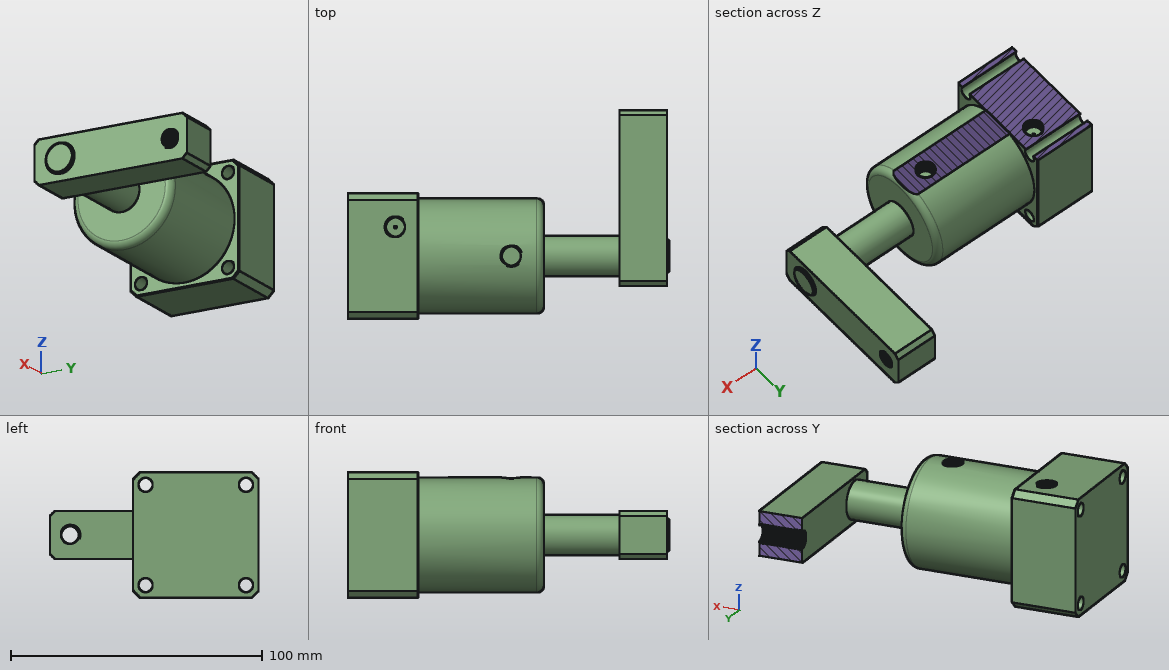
import cadquery as cq

block_side = 50.0
block_length = 28.0
block_corner_chamfer = 2.8
block_front_chamfer = 0.4
bolt_hole_offset = 20.0
bolt_hole_diameter = 5.5

barrel_diameter = 46.0
barrel_length = 50.0
barrel_end_round = 3.0

port_bore_diameter = 7.5
port_depth = 7.7
port_thread_pitch = 0.9
port_thread_height = 0.5
block_port_x = 19.0
block_port_y = 11.5
block_passage_diameter = 1.0
block_passage_depth = 2.5
barrel_port_x = 65.0

groove_overlap = 0.1
groove_half_width = 0.45

rod_diameter = 16.3
stub_diameter = 13.0
stub_chamfer = 0.6

overall_length = 128.0
overall_width = 83.1
arm_thickness = 19.0
arm_height = 19.2
arm_start_x = 108.0
arm_length = 70.0
arm_chamfer = 2.0
arm_bore_from_tip = 8.1
arm_bore_diameter = 6.9
arm_thread_pitch = 1.3
arm_thread_height = 0.6

barrel_end_x = block_length + barrel_length
arm_tip_y = overall_width - block_side / 2
arm_centre_y = arm_tip_y - arm_length / 2


def rod_cylinder(diameter, start_x, end_x):
    """Solid cylinder on the X axis."""
    return cq.Workplane("YZ", origin=(start_x, 0, 0)).circle(diameter / 2).extrude(end_x - start_x)


def threaded_bore(bore_diameter, pitch, groove_height, depth):
    """Cutter for a threaded hole: a bore from Z = 0 with a helical V groove, two pitches longer than depth."""
    bore_radius = bore_diameter / 2
    helix = cq.Wire.makeHelix(pitch, depth, bore_radius)
    profile = cq.Workplane("XZ").polyline([
        (bore_radius - groove_overlap, -groove_half_width * pitch),
        (bore_radius + groove_height, 0),
        (bore_radius - groove_overlap, groove_half_width * pitch),
    ]).close()
    groove = profile.sweep(cq.Workplane(obj=helix), isFrenet=True).translate((0, 0, pitch))
    bore = cq.Workplane().circle(bore_radius).extrude(depth + 2 * pitch)
    return bore.union(groove)


def cut_port(body, x, y, surface_z):
    """Cut a flat-bottomed threaded port that opens upward at surface_z."""
    port = threaded_bore(port_bore_diameter, port_thread_pitch, port_thread_height, port_depth)
    return body.cut(port.translate((x, y, surface_z - port_depth)))


def make_block():
    block = cq.Workplane("YZ").rect(block_side, block_side).extrude(block_length)
    block = block.edges("|X").chamfer(block_corner_chamfer)
    block = block.faces(">X").edges().chamfer(block_front_chamfer)
    bolt_holes = (
        cq.Workplane("YZ")
        .rect(2 * bolt_hole_offset, 2 * bolt_hole_offset, forConstruction=True)
        .vertices()
        .circle(bolt_hole_diameter / 2)
        .extrude(block_length)
    )
    block = block.cut(bolt_holes)
    top_z = block_side / 2
    block = cut_port(block, block_port_x, block_port_y, top_z)
    passage = (
        cq.Workplane(origin=(block_port_x, block_port_y, top_z - port_depth))
        .circle(block_passage_diameter / 2)
        .extrude(-block_passage_depth)
    )
    return block.cut(passage)


def make_barrel():
    barrel = rod_cylinder(barrel_diameter, block_length, barrel_end_x)
    barrel = barrel.faces(">X").edges().fillet(barrel_end_round)
    barrel = barrel.cut(rod_cylinder(rod_diameter, block_length, barrel_end_x))
    return cut_port(barrel, barrel_port_x, 0, barrel_diameter / 2)


def make_rod():
    """Rod from the block face to the arm, with a thinner stub through the arm."""
    stub = rod_cylinder(stub_diameter, arm_start_x, overall_length)
    stub = stub.faces(">X").edges().chamfer(stub_chamfer)
    return rod_cylinder(rod_diameter, block_length, arm_start_x).union(stub)


def make_arm():
    arm = cq.Workplane("YZ", origin=(arm_start_x, arm_centre_y, 0)).rect(arm_length, arm_height)
    arm = arm.extrude(arm_thickness).edges("|X").chamfer(arm_chamfer)
    arm = arm.cut(rod_cylinder(stub_diameter, arm_start_x, arm_start_x + arm_thickness))

    lead_in = 2 * arm_thread_pitch
    hole = threaded_bore(
        arm_bore_diameter, arm_thread_pitch, arm_thread_height, arm_thickness + lead_in
    )
    hole = hole.rotate((0, 0, 0), (0, 0, 1), 180).rotate((0, 0, 0), (0, 1, 0), 90)
    return arm.cut(hole.translate((arm_start_x - lead_in, arm_tip_y - arm_bore_from_tip, 0)))


block = make_block()
barrel = make_barrel()
rod = make_rod()
arm = make_arm()

result = cq.Compound.makeCompound([block.val(), barrel.val(), rod.val(), arm.val()])